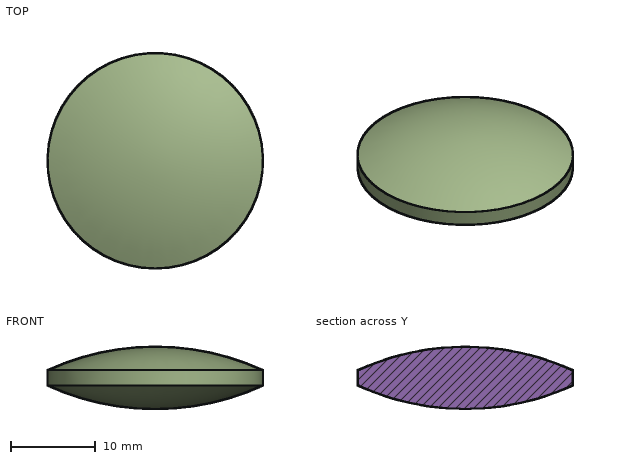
import cadquery as cq

diameter = 25.4
centre_thickness = 7.38
edge_thickness = 1.8

radius = diameter / 2
half_centre = centre_thickness / 2
half_edge = edge_thickness / 2
sag = half_centre - half_edge
surface_radius = (radius**2 + sag**2) / (2 * sag)
mid_radius = radius / 2
mid_height = half_centre - surface_radius + (surface_radius**2 - mid_radius**2) ** 0.5


def half_profile():
    """Cross-section from the optical axis out to the -Y rim, in the YZ plane."""
    return (
        cq.Workplane("YZ")
        .moveTo(0, -half_centre)
        .threePointArc((-mid_radius, -mid_height), (-radius, -half_edge))
        .lineTo(-radius, half_edge)
        .threePointArc((-mid_radius, mid_height), (0, half_centre))
        .close()
    )


result = half_profile().revolve(360, (0, 0), (0, 1))